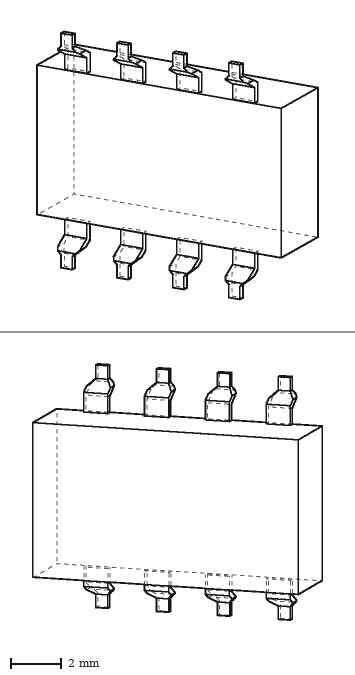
import cadquery as cq
import math

body_width = 11.1
body_depth = 3.0
body_height = 6.25

overall_depth = 3.7
overall_height = 9.8

leads_per_row = 4
lead_pitch = 2.54
lead_width = 1.01
lead_thickness = 0.25
tip_width = 0.51
tip_length = 0.54
crank_offset = 0.75
crank_rise_angle = 30

foot_front_y = -overall_depth
foot_back_y = foot_front_y + lead_thickness
leg_front_y = foot_front_y + crank_offset
leg_back_y = leg_front_y + lead_thickness

body_top_z = body_height / 2
tip_end_z = overall_height / 2
crank_rise = crank_offset * math.tan(math.radians(crank_rise_angle))
bend_turn = 90 - crank_rise_angle
bend_shift = lead_thickness * math.tan(math.radians(bend_turn / 2))
foot_back_bend_z = tip_end_z - tip_length
foot_front_bend_z = foot_back_bend_z - bend_shift
leg_back_bend_z = foot_back_bend_z - crank_rise
leg_front_bend_z = foot_front_bend_z - crank_rise


def make_body():
    body = cq.Workplane("XY").box(body_width, body_depth, body_height)
    return body.translate((0, -body_depth / 2, 0))


def make_upper_lead():
    """Cranked strip standing on the body's top face, centred on X = 0."""
    strip = (
        cq.Workplane("YZ")
        .polyline([
            (leg_back_y, body_top_z),
            (leg_back_y, leg_back_bend_z),
            (foot_back_y, foot_back_bend_z),
            (foot_back_y, tip_end_z),
            (foot_front_y, tip_end_z),
            (foot_front_y, foot_front_bend_z),
            (leg_front_y, leg_front_bend_z),
            (leg_front_y, body_top_z),
        ])
        .close()
        .extrude(lead_width / 2, both=True)
    )
    half_lead = lead_width / 2
    half_tip = tip_width / 2
    shoulder_z = foot_back_bend_z - (half_lead - half_tip)
    outline = (
        cq.Workplane("XZ")
        .polyline([
            (-half_lead, body_top_z),
            (-half_lead, shoulder_z),
            (-half_tip, foot_back_bend_z),
            (-half_tip, tip_end_z),
            (half_tip, tip_end_z),
            (half_tip, foot_back_bend_z),
            (half_lead, shoulder_z),
            (half_lead, body_top_z),
        ])
        .close()
        .extrude(overall_depth)
    )
    return strip.intersect(outline)


upper_lead = make_upper_lead()
lower_lead = upper_lead.mirror("XY")

result = make_body()
for index in range(leads_per_row):
    lead_x = (index - (leads_per_row - 1) / 2) * lead_pitch
    for lead in (upper_lead, lower_lead):
        result = result.union(lead.translate((lead_x, 0, 0)))